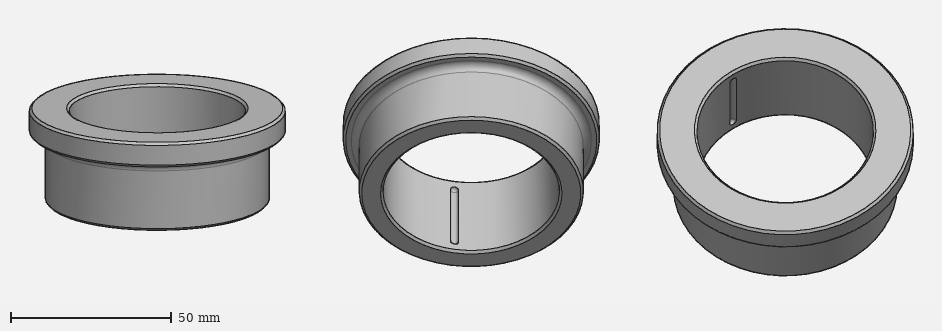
import cadquery as cq

flange_diameter = 80
sleeve_diameter = 70.0
bore_diameter = 55.0
height = 30.0
flange_thickness = 8
edge_chamfer = 0.8
neck_fillet = 2.5

groove_diameter = 2.5
groove_end_margin = 3.0

flange_radius = flange_diameter / 2
sleeve_radius = sleeve_diameter / 2
bore_radius = bore_diameter / 2
flange_bottom = height - flange_thickness


def flanged_sleeve():
    """Revolve the bushing section about Z, with all rims chamfered."""
    section = (
        cq.Workplane("XZ")
        .moveTo(bore_radius + edge_chamfer, 0)
        .lineTo(sleeve_radius - edge_chamfer, 0)
        .lineTo(sleeve_radius, edge_chamfer)
        .lineTo(sleeve_radius, flange_bottom - neck_fillet)
        .radiusArc((sleeve_radius + neck_fillet, flange_bottom), neck_fillet)
        .lineTo(flange_radius - edge_chamfer, flange_bottom)
        .lineTo(flange_radius, flange_bottom + edge_chamfer)
        .lineTo(flange_radius, height - edge_chamfer)
        .lineTo(flange_radius - edge_chamfer, height)
        .lineTo(bore_radius + edge_chamfer, height)
        .lineTo(bore_radius, height - edge_chamfer)
        .lineTo(bore_radius, edge_chamfer)
        .close()
    )
    return section.revolve(360, (0, 0, 0), (0, 1, 0))


def bore_groove():
    """Ball-ended round cutter centred on the bore wall, short of both rims."""
    groove_radius = groove_diameter / 2
    low_centre = groove_end_margin + groove_radius
    high_centre = height - low_centre
    cutter = (
        cq.Workplane("XY", origin=(bore_radius, 0, low_centre))
        .circle(groove_radius)
        .extrude(high_centre - low_centre)
    )
    for end_centre in (low_centre, high_centre):
        ball = cq.Workplane("XY", origin=(bore_radius, 0, end_centre)).sphere(groove_radius)
        cutter = cutter.union(ball)
    return cutter


result = flanged_sleeve().cut(bore_groove())